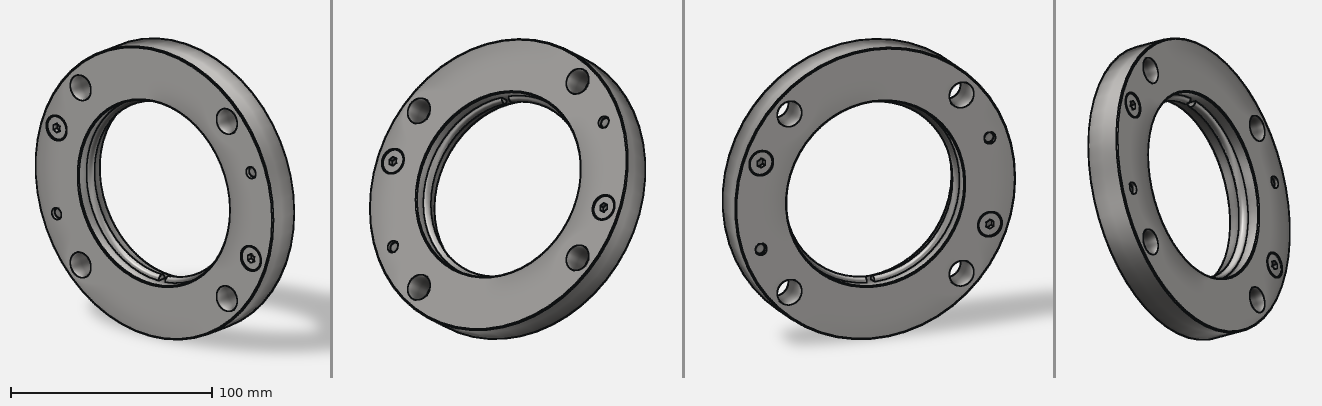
import cadquery as cq
import math

ring_diameter = 150.0
ring_thickness = 18.0
bore_diameter = 95.0
edge_chamfer = 0.6

bead_diameter = 5.0
bead_gap = 4.0

pitch_radius = 65.1
through_hole_diameter = 13.0
through_hole_angles = [45, 135, 225, 315]
front_screw_angles = [160, 340]
back_screw_angles = [20, 200]

head_diameter = 12.0
recess_chamfer = 0.52
head_height = 6.0
shank_diameter = 6.0
tip_chamfer = 0.52
tip_setback = 1.8
screw_length = ring_thickness - tip_setback
socket_width = 4.0
socket_depth = 3.0


def front_circle(diameter, depth=0):
    """Circle about the ring axis, `depth` behind the front face, that extrudes toward +Y."""
    plane = cq.Plane((0, depth - ring_thickness / 2, 0), xDir=(1, 0, 0), normal=(0, 1, 0))
    return cq.Workplane(plane).circle(diameter / 2)


def disc(diameter, depth, length):
    """Cylinder about the ring axis that starts `depth` behind the front face."""
    return front_circle(diameter, depth).extrude(length)


def at_angle(body, angle):
    """Move a body from the ring axis to its place on the pitch circle."""
    turn = math.radians(angle)
    return body.translate((pitch_radius * math.cos(turn), 0, pitch_radius * math.sin(turn)))


def turned_to_back(body):
    """Turn a body end for end, so that what entered from the front face enters from the back."""
    return body.rotate((0, 0, 0), (0, 0, 1), 180)


def make_bead():
    bore_radius = bore_diameter / 2
    bead = (
        cq.Workplane("XY")
        .center(bore_radius, 0)
        .circle(bead_diameter / 2)
        .revolve(360, (-bore_radius, 0), (-bore_radius, 1))
    )
    gap_cutter = cq.Workplane("XY").box(bead_gap, ring_thickness, ring_diameter)
    return bead.cut(gap_cutter)


def make_screw():
    """Screw on the ring axis, entering from the front face."""
    head = disc(head_diameter, 0, head_height)
    shank = disc(shank_diameter, head_height, screw_length - head_height)
    shank = shank.faces(">Y").chamfer(tip_chamfer)
    socket = (
        cq.Workplane("XZ", origin=(0, -ring_thickness / 2, 0))
        .polygon(6, socket_width, circumscribed=True)
        .extrude(-socket_depth)
    )
    return head.union(shank).cut(socket)


def make_screw_hole():
    """Stepped hole on the ring axis for a screw that enters from the front face, with a chamfered mouth."""
    recess = disc(head_diameter, 0, head_height)
    mouth = front_circle(head_diameter + 2 * recess_chamfer).extrude(recess_chamfer, taper=45)
    return recess.union(mouth).union(disc(shank_diameter, 0, ring_thickness))


def make_ring():
    ring = disc(ring_diameter, 0, ring_thickness).cut(disc(bore_diameter, 0, ring_thickness))
    ring = ring.faces("<Y or >Y").edges().chamfer(edge_chamfer)
    ring = ring.union(make_bead())
    for angle in through_hole_angles:
        ring = ring.cut(at_angle(disc(through_hole_diameter, 0, ring_thickness), angle))
    for angle in front_screw_angles:
        ring = ring.cut(at_angle(make_screw_hole(), angle))
    for angle in back_screw_angles:
        ring = ring.cut(at_angle(turned_to_back(make_screw_hole()), angle))
    return ring


ring = make_ring()
front_screws = [at_angle(make_screw(), angle).val() for angle in front_screw_angles]
back_screws = [at_angle(turned_to_back(make_screw()), angle).val() for angle in back_screw_angles]
result = cq.Compound.makeCompound([ring.val(), *front_screws, *back_screws])